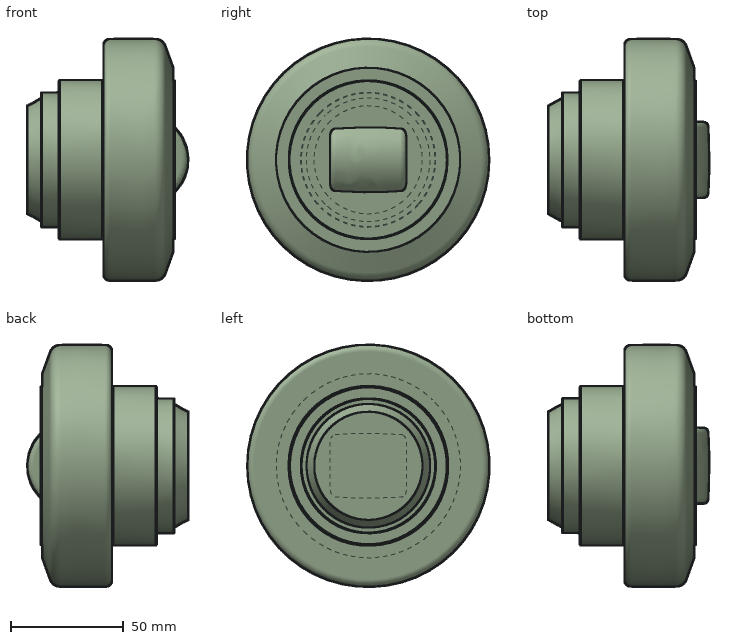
import cadquery as cq
import math

nose_length = 6.2
barrel_start = 14.0
flange_start = 33.8
flange_round_start = 56.8
flange_end = 64.9
plate_end = 65.6
overall_length = 71.6

nose_front_radius = 24.0
nose_back_radius = 27.5
collar_radius = 60.0 / 2
barrel_radius = 71.0 / 2
plate_radius = 70.5 / 2
flange_radius = 53.8
flange_crown = 0.1
flange_edge_radius = flange_radius - flange_crown

collar_chamfer = 0.3
collar_root_round = 0.5
barrel_chamfer = 0.6
plate_chamfer = 0.3
flange_front_round = 3.0
flange_back_round = 10.0 / 2
flange_taper = math.radians(20)

lug_radius = 20.2
lug_crown = 0.5
lug_width = 33.9
lug_edge_round = 2.5


def disc(start, end, radius):
    """Cylinder about the X axis between two X positions."""
    return cq.Workplane("YZ").workplane(offset=start).circle(radius).extrude(end - start)


def make_nose():
    profile = [(0, 0), (0, nose_front_radius), (nose_length, nose_back_radius), (nose_length, 0)]
    return cq.Workplane("XY").polyline(profile).close().revolve(360, (0, 0, 0), (1, 0, 0))


def make_flange():
    def back_round_point(angle):
        """Point on the back round, with the angle measured from the radial direction."""
        x = flange_round_start + flange_back_round * math.sin(angle)
        r = flange_edge_radius - flange_back_round * (1 - math.cos(angle))
        return x, r

    round_sweep = math.pi / 2 - flange_taper
    cone_start_x, cone_start_radius = back_round_point(round_sweep)
    cone_end_radius = cone_start_radius - (flange_end - cone_start_x) / math.tan(flange_taper)
    front_round_inset = flange_front_round * (1 - math.sqrt(0.5))
    rim_middle = (flange_start + flange_front_round + flange_round_start) / 2
    profile = (
        cq.Workplane("XY")
        .moveTo(flange_start, 0)
        .lineTo(flange_start, flange_edge_radius - flange_front_round)
        .threePointArc(
            (flange_start + front_round_inset, flange_edge_radius - front_round_inset),
            (flange_start + flange_front_round, flange_edge_radius),
        )
        .threePointArc((rim_middle, flange_radius), (flange_round_start, flange_edge_radius))
        .threePointArc(back_round_point(round_sweep / 2), (cone_start_x, cone_start_radius))
        .lineTo(flange_end, cone_end_radius)
        .lineTo(flange_end, 0)
        .close()
    )
    return profile.revolve(360, (0, 0, 0), (1, 0, 0))


def make_collar():
    """Chamfered collar with a concave round where it meets the barrel."""
    collar = disc(nose_length, barrel_start, collar_radius).edges("<X").chamfer(collar_chamfer)
    root_start = barrel_start - collar_root_round
    root_outer_radius = collar_radius + collar_root_round
    arc_inset = collar_root_round * math.sqrt(0.5)
    root = (
        cq.Workplane("XY")
        .moveTo(root_start, 0)
        .lineTo(root_start, collar_radius)
        .threePointArc(
            (root_start + arc_inset, root_outer_radius - arc_inset),
            (barrel_start, root_outer_radius),
        )
        .lineTo(barrel_start, 0)
        .close()
        .revolve(360, (0, 0, 0), (1, 0, 0))
    )
    return collar.union(root)


def make_lug():
    """Round-edged, crowned disc about the Y axis; only its tip stands out of the plate."""
    axis_x = overall_length - lug_radius
    edge_x = overall_length - lug_crown
    half_width = lug_width / 2
    return (
        cq.Workplane("XY")
        .moveTo(axis_x, -half_width)
        .lineTo(edge_x, -half_width)
        .threePointArc((overall_length, 0), (edge_x, half_width))
        .lineTo(axis_x, half_width)
        .close()
        .revolve(360, (axis_x, 0, 0), (axis_x, 1, 0))
        .edges("%CIRCLE")
        .fillet(lug_edge_round)
    )


barrel = disc(barrel_start, flange_start, barrel_radius).edges().chamfer(barrel_chamfer)
plate = disc(flange_end, plate_end, plate_radius).edges(">X").chamfer(plate_chamfer)

result = make_nose().union(make_collar()).union(barrel)
result = result.union(make_flange()).union(plate).union(make_lug())